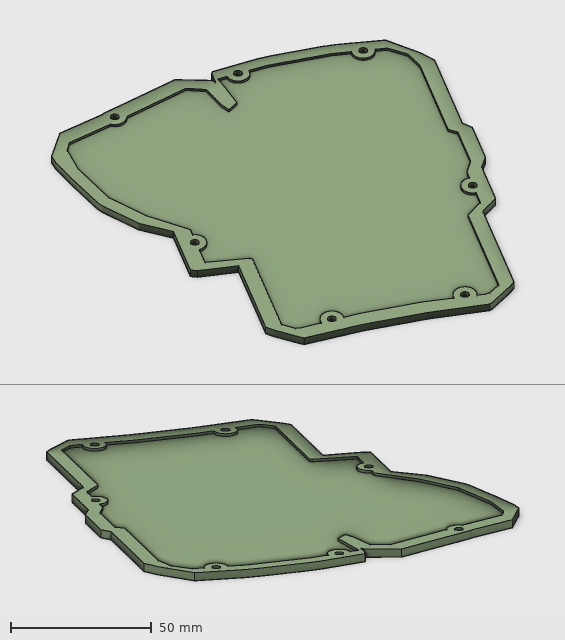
import cadquery as cq

plate_length = 153.0
plate_width = 148.2
plate_thickness = 3.0
pocket_depth = 1.0
hole_diameter = 3.0
boss_radius = 4.3

upper_edge_y = 145.4
shoulder_edge_y = 139.1
corner_edge_y = 47.5
lower_edge_y = 30.3
notch_edge_y = 67.2

outer_points = [
    (18.2, upper_edge_y),
    (54.3, upper_edge_y),
    (57.5, plate_width),
    (74.5, plate_width),
    (79.5, upper_edge_y),
    (97.5, upper_edge_y),
    (103.0, shoulder_edge_y),
    (143.6, shoulder_edge_y),
    (145.9, 136.8),
    (152.6, 128.5),
    (plate_length, 127.5),
    (151.5, 105.2),
    (151.5, 81.5),
    (plate_length, 59.1),
    (152.6, 58.2),
    (145.9, 49.7),
    (143.6, corner_edge_y),
    (108.4, corner_edge_y),
    (107.0, 32.6),
    (106.0, lower_edge_y),
    (83.9, lower_edge_y),
    (76.2, 19.7),
    (63.2, 9.8),
    (60.8, 8.5),
    (45.9, 3.5),
    (35.8, 0.5),
    (32.0, 0.0),
    (30.5, 0.9),
    (20.7, 6.3),
    (14.8, 23.5),
    (14.2, 24.5),
    (13.2, 27.4),
    (12.0, 30.8),
    (3.4, 53.7),
    (5.0, 59.1),
    (7.3, 66.3),
    (8.9, notch_edge_y),
    (3.7, notch_edge_y),
    (2.8, 67.8),
    (0.3, 85.0),
    (0.0, 90.3),
    (0.0, 108.5),
    (0.3, 113.9),
    (2.8, 131.6),
    (13.0, 141.7),
]

pocket_step_y = 142.5
pocket_upper_y = 139.6
pocket_shoulder_y = 133.5
pocket_corner_y = 53.3
pocket_lower_y = 36.5

pocket_points = [
    (19.6, pocket_upper_y),
    (56.3, pocket_upper_y),
    (58.6, pocket_step_y),
    (75.2, pocket_step_y),
    (80.5, pocket_upper_y),
    (98.1, pocket_upper_y),
    (103.6, pocket_shoulder_y),
    (143.7, pocket_shoulder_y),
    (147.1, 129.2),
    (147.4, 127.4),
    (145.4, 105.2),
    (145.4, 81.5),
    (147.4, 59.2),
    (147.1, 57.4),
    (143.7, pocket_corner_y),
    (106.1, pocket_corner_y),
    (105.5, 52.5),
    (103.3, pocket_lower_y),
    (84.5, pocket_lower_y),
    (72.9, 23.4),
    (59.5, 13.3),
    (41.3, 7.2),
    (30.3, 6.3),
    (26.6, 8.1),
    (20.7, 25.3),
    (9.0, 56.2),
    (11.6, 62.9),
    (21.3, 65.8),
    (24.6, 67.7),
    (21.6, 71.5),
    (7.2, 68.5),
    (4.7, 87.5),
    (4.7, 111.1),
    (7.2, 131.0),
    (12.4, 137.2),
]

left_hole_x = 6.1
right_hole_x = 145.5
hole_centres = [
    (left_hole_x, 122.5),
    (left_hole_x, 76.2),
    (88.3, pocket_upper_y),
    (right_hole_x, 120.5),
    (right_hole_x, 71.3),
    (91.7, 36.0),
    (17.3, 27.5),
]


def make_plate():
    return cq.Workplane("XY").polyline(outer_points).close().extrude(plate_thickness)


def make_pocket():
    """Space removed above the floor, leaving a round boss at each hole."""
    floor = cq.Workplane("XY").workplane(offset=plate_thickness - pocket_depth)
    cavity = floor.polyline(pocket_points).close().extrude(pocket_depth)
    bosses = floor.pushPoints(hole_centres).circle(boss_radius).extrude(pocket_depth)
    return cavity.cut(bosses)


def make_holes():
    points = cq.Workplane("XY").pushPoints(hole_centres)
    return points.circle(hole_diameter / 2).extrude(plate_thickness)


result = make_plate().cut(make_pocket()).cut(make_holes())